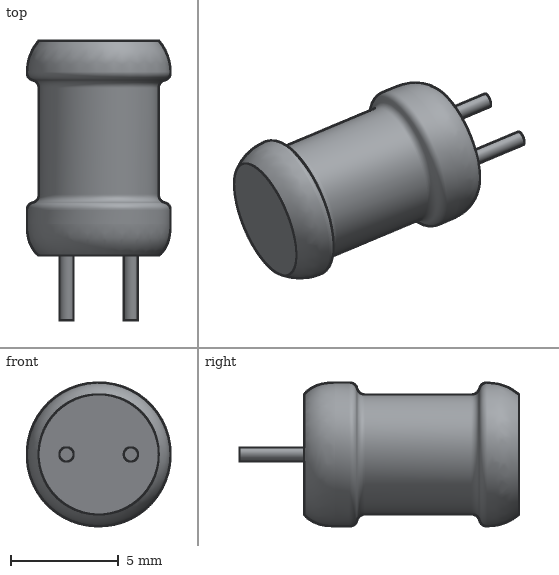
import cadquery as cq
import math

total_length = 13.0
lead_length = 3.0
body_length = total_length - lead_length

flange_diameter = 6.7
neck_diameter = 5.59
end_face_diameter = 5.59

upper_crown_length = 1.5
lower_crown_length = 1.45
lower_bulge_height = 0.3
lower_bulge_diameter = 6.12
lower_edge_angle = math.radians(38)
lower_rim_length = 0.66
shoulder_length = 0.7

lead_diameter = 0.66
lead_spacing = 2.99

flange_radius = flange_diameter / 2
neck_radius = neck_diameter / 2
end_face_radius = end_face_diameter / 2

lower_rim_start = lower_crown_length
lower_rim_end = lower_rim_start + lower_rim_length
neck_start = lower_rim_end + shoulder_length
upper_rim = body_length - upper_crown_length
neck_end = upper_rim - shoulder_length


def tangent_arc_middle(tangent_point, end_point):
    """Middle point of an arc that leaves tangent_point parallel to Y and reaches end_point."""
    radius_change = end_point[0] - tangent_point[0]
    rise = end_point[1] - tangent_point[1]
    arc_radius = (radius_change**2 + rise**2) / (2 * abs(radius_change))
    half_angle = math.atan2(abs(radius_change), abs(rise))
    across = arc_radius * (1 - math.cos(half_angle))
    along = arc_radius * math.sin(half_angle)
    return (
        tangent_point[0] + math.copysign(across, radius_change),
        tangent_point[1] + math.copysign(along, rise),
    )


def add_shoulder(profile, start, end):
    """Add two equal arcs forming an S that is parallel to Y at both ends."""
    inflection = ((start[0] + end[0]) / 2, (start[1] + end[1]) / 2)
    profile = profile.threePointArc(tangent_arc_middle(start, inflection), inflection)
    return profile.threePointArc(tangent_arc_middle(end, inflection), end)


def make_body():
    """Revolve the spool half-profile (radius, Y) about the Y axis."""
    lower_face_edge = (end_face_radius, 0)
    lower_bulge = (lower_bulge_diameter / 2, lower_bulge_height)
    lower_crown_top = (flange_radius, lower_rim_start)
    lower_rim_top = (flange_radius, lower_rim_end)
    neck_bottom = (neck_radius, neck_start)
    neck_top = (neck_radius, neck_end)
    upper_crown_bottom = (flange_radius, upper_rim)
    upper_face_edge = (end_face_radius, body_length)

    profile = cq.Workplane("XY").lineTo(*lower_face_edge)
    profile = profile.spline(
        [lower_bulge, lower_crown_top],
        tangents=[(math.cos(lower_edge_angle), math.sin(lower_edge_angle)), (0, 1)],
        includeCurrent=True,
    )
    profile = profile.lineTo(*lower_rim_top)
    profile = add_shoulder(profile, lower_rim_top, neck_bottom)
    profile = profile.lineTo(*neck_top)
    profile = add_shoulder(profile, neck_top, upper_crown_bottom)
    profile = profile.threePointArc(tangent_arc_middle(upper_crown_bottom, upper_face_edge), upper_face_edge)
    profile = profile.lineTo(0, body_length).close()
    return profile.revolve(360, (0, 0, 0), (0, 1, 0))


def make_leads():
    """Two round leads running from the end face toward -Y."""
    lead_centers = [(-lead_spacing / 2, 0), (lead_spacing / 2, 0)]
    return cq.Workplane("XZ").pushPoints(lead_centers).circle(lead_diameter / 2).extrude(lead_length)


result = make_body().union(make_leads())